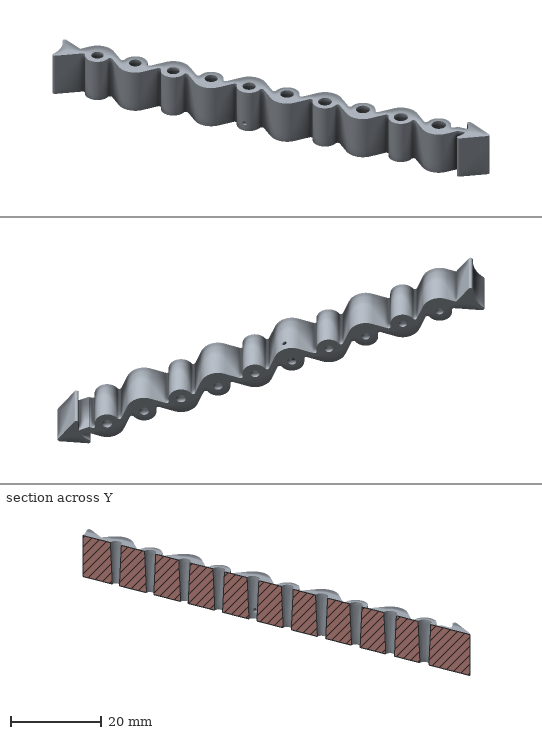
import cadquery as cq
import math

LENGTH = 102.4
HEIGHT = 10.0

HOLE_COUNT = 10
FIRST_HOLE_X = 9.4
LAST_HOLE_X = 90.4
HOLE_PITCH = (LAST_HOLE_X - FIRST_HOLE_X) / (HOLE_COUNT - 1)
SMALLEST_GAUGE_DIAMETER = 1.7
GAUGE_STEP = 0.05
MOUTH_EXTRA_DIAMETER = 1.0
BOSS_RADIUS = 2.8

WAVE_OUTER_RADIUS = 4.0
POCKET_RADIUS = 0.5

FLANK_ANGLE = math.radians(30)
TIP_RADIUS = 0.5
TAIL_APEX_X = 6.9
TAIL_BACK_RADIUS = 6.1
BARB_OFFSET = 5.5
HEAD_BACK_RADIUS = 4.6
SHAFT_THICKNESS = 1.5

CROSS_HOLE_INDEX = 4
CROSS_HOLE_DIAMETER = 1.0
CROSS_HOLE_Z = 1.9

TOLERANCE = 0.001

hole_xs = [FIRST_HOLE_X + HOLE_PITCH * i for i in range(HOLE_COUNT)]
wave_inner_radius = HOLE_PITCH / math.sqrt(2) - WAVE_OUTER_RADIUS


def wave_piece(hole_x, side):
    """One wave bulging to +Y (side 1) or -Y (side -1), with the boss on its hollow side."""
    diagonal = 1 / math.sqrt(2)
    run_half = HOLE_PITCH / 2 * diagonal
    junction_run = math.sqrt(BOSS_RADIUS**2 - wave_inner_radius**2)

    def run_point(end, radius, along):
        """Point on a 45 degree run, at a distance along it from where it leaves its arc."""
        return (hole_x + end * (radius + along) * diagonal, side * (radius - along) * diagonal)

    return (
        cq.Workplane("XY")
        .moveTo(*run_point(-1, WAVE_OUTER_RADIUS, run_half))
        .lineTo(*run_point(-1, WAVE_OUTER_RADIUS, 0))
        .threePointArc((hole_x, side * WAVE_OUTER_RADIUS), run_point(1, WAVE_OUTER_RADIUS, 0))
        .lineTo(*run_point(1, WAVE_OUTER_RADIUS, run_half))
        .lineTo(*run_point(1, wave_inner_radius, run_half))
        .lineTo(*run_point(1, wave_inner_radius, junction_run))
        .threePointArc((hole_x, -side * BOSS_RADIUS), run_point(-1, wave_inner_radius, junction_run))
        .lineTo(*run_point(-1, wave_inner_radius, run_half))
        .close()
        .extrude(HEIGHT)
    )


def hollow_wedge(apex_x, back_x, back_radius):
    """Wedge pointing to +X with a hollow back; its rounded rear tips reach back to back_x."""
    tip_x = back_x + TIP_RADIUS
    tip_y = (apex_x - tip_x) * math.tan(FLANK_ANGLE) - TIP_RADIUS / math.cos(FLANK_ANGLE)
    back_center_x = tip_x - math.sqrt((back_radius + TIP_RADIUS) ** 2 - tip_y**2)

    flank_touch = (
        tip_x + TIP_RADIUS * math.sin(FLANK_ANGLE),
        tip_y + TIP_RADIUS * math.cos(FLANK_ANGLE),
    )
    back_share = back_radius / (back_radius + TIP_RADIUS)
    back_touch = (back_center_x + (tip_x - back_center_x) * back_share, tip_y * back_share)
    tip_end = (back_x, tip_y)

    def mirrored(point):
        return (point[0], -point[1])

    return (
        cq.Workplane("XY")
        .moveTo(apex_x, 0)
        .lineTo(*flank_touch)
        .threePointArc(tip_end, back_touch)
        .threePointArc((back_center_x + back_radius, 0), mirrored(back_touch))
        .threePointArc(mirrored(tip_end), mirrored(flank_touch))
        .close()
        .extrude(HEIGHT)
    )


def block(x_start, x_end, y_start, y_end):
    """Full-height rectangular block."""
    return (
        cq.Workplane("XY")
        .moveTo(x_start, y_start)
        .lineTo(x_end, y_start)
        .lineTo(x_end, y_end)
        .lineTo(x_start, y_end)
        .close()
        .extrude(HEIGHT)
    )


def fishtail():
    """Fishtail with a root block that fills the gap between its apex and the first boss."""
    tail = hollow_wedge(TAIL_APEX_X, 0, TAIL_BACK_RADIUS)
    return tail.union(block(FIRST_HOLE_X - WAVE_OUTER_RADIUS, FIRST_HOLE_X, 0, SHAFT_THICKNESS / 2))


def arrowhead():
    """Arrowhead with a rounded nose, on a flat shaft that starts beside the last hole."""
    apex_x = LENGTH + TIP_RADIUS * (1 / math.sin(FLANK_ANGLE) - 1)
    head = hollow_wedge(apex_x, LAST_HOLE_X + BARB_OFFSET, HEAD_BACK_RADIUS)
    head = head.edges("|Z").edges(">X").fillet(TIP_RADIUS)
    shaft_start = LAST_HOLE_X + WAVE_OUTER_RADIUS
    shaft_end = LAST_HOLE_X + HOLE_PITCH
    return head.union(block(shaft_start, shaft_end, -SHAFT_THICKNESS / 2, SHAFT_THICKNESS / 2))


def is_boss_junction(edge):
    """True for an upright edge where a boss meets a wave run or the fishtail."""
    center = edge.Center()
    return any(
        abs(math.hypot(center.x - hole_x, center.y) - BOSS_RADIUS) < TOLERANCE for hole_x in hole_xs
    )


def gauge_hole(hole_x, index):
    """Tapered cutter for one gauge hole."""
    gauge_radius = (SMALLEST_GAUGE_DIAMETER + GAUGE_STEP * index) / 2
    mouth_radius = gauge_radius + MOUTH_EXTRA_DIAMETER / 2
    return cq.Solid.makeCone(gauge_radius, mouth_radius, HEIGHT, pnt=cq.Vector(hole_x, 0, 0))


body = fishtail()
for i, hole_x in enumerate(hole_xs):
    body = body.union(wave_piece(hole_x, (-1) ** i))
body = body.union(arrowhead()).clean()

body = body.edges("|Z").filter(is_boss_junction).fillet(POCKET_RADIUS)

for i, hole_x in enumerate(hole_xs):
    body = body.cut(cq.Workplane(gauge_hole(hole_x, i)))

cross_hole = (
    cq.Workplane("XZ")
    .center(hole_xs[CROSS_HOLE_INDEX], CROSS_HOLE_Z)
    .circle(CROSS_HOLE_DIAMETER / 2)
    .extrude(WAVE_OUTER_RADIUS, both=True)
)
result = body.cut(cross_hole)